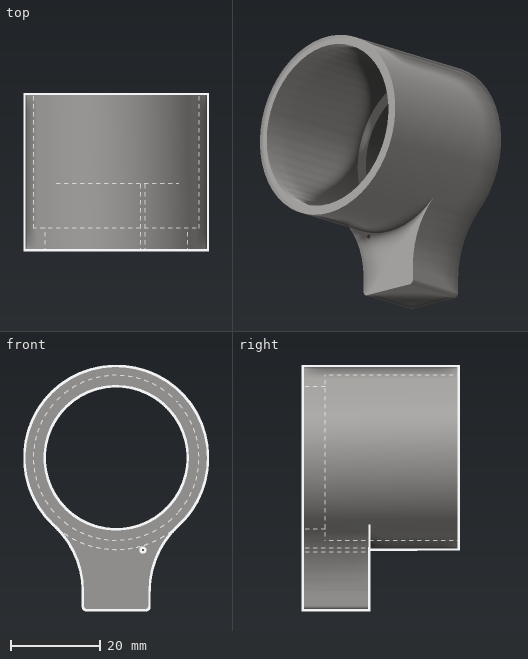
import cadquery as cq
import math

ring_radius = 20.6
bore_radius = 16.0
ring_length = 35.0

lip_length = 5.0
rear_bore_radius = 18.5

overall_height = 54.8
tab_width = 15.0
tab_thickness = 14.95
flare_radius = 20.0
corner_radius = 1.0

pin_diameter = 1.0
pin_x = 5.95
pin_z = -20.65

half_width = tab_width / 2
tab_bottom = ring_radius - overall_height

flare_x = half_width + flare_radius
center_distance = ring_radius + flare_radius
flare_z = -math.sqrt(center_distance**2 - flare_x**2)
join_x = flare_x * ring_radius / center_distance
join_z = flare_z * ring_radius / center_distance
join_angle = math.atan2(-flare_z, flare_x)
mid_x = flare_x - flare_radius * math.cos(join_angle / 2)
mid_z = flare_z + flare_radius * math.sin(join_angle / 2)


def front_plane():
    """XZ plane whose positive extrusion runs toward -Y."""
    return cq.Workplane("XZ")


def make_ring_body():
    return front_plane().circle(ring_radius).extrude(-ring_length)


def make_tab():
    profile = (
        front_plane()
        .moveTo(-join_x, join_z)
        .threePointArc((-mid_x, mid_z), (-half_width, flare_z))
        .lineTo(-half_width, tab_bottom)
        .lineTo(half_width, tab_bottom)
        .lineTo(half_width, flare_z)
        .threePointArc((mid_x, mid_z), (join_x, join_z))
        .threePointArc((0, ring_radius), (-join_x, join_z))
        .close()
    )
    tab = profile.extrude(-tab_thickness)
    return tab.faces("<Z").edges("|Y").fillet(corner_radius)


bore = front_plane().circle(bore_radius).extrude(-ring_length)
rear_bore = (
    front_plane()
    .workplane(offset=-lip_length)
    .circle(rear_bore_radius)
    .extrude(lip_length - ring_length)
)
pin_hole = front_plane().center(pin_x, pin_z).circle(pin_diameter / 2).extrude(-tab_thickness)

result = make_ring_body().union(make_tab()).cut(bore).cut(rear_bore).cut(pin_hole)